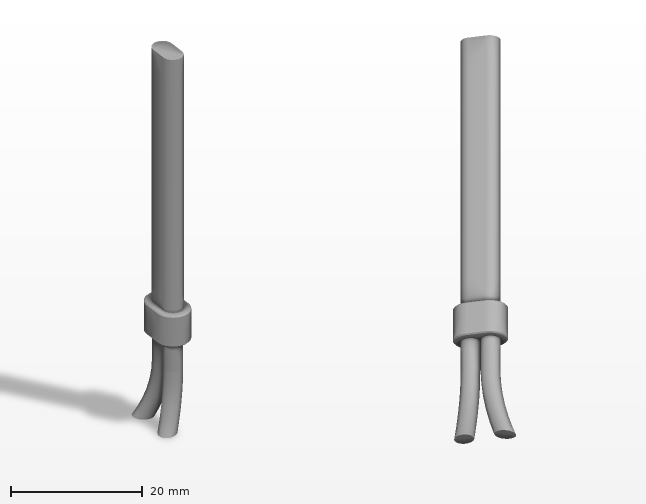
import cadquery as cq
import math

total_length = 65.0

cable_width = 6.2
cable_depth = 3.4

sleeve_width = 8.5
sleeve_depth = 5.6
sleeve_bottom = 15.0
sleeve_height = 5.45
sleeve_chamfer = 0.2

wire_diameter = 3.0
wire_offset = (cable_width - wire_diameter) / 2
bend_start = 10.0
end_spacing = 6.45
end_x = end_spacing / 2
left_end_y = -2.3
right_end_y = -2.15
trim_allowance = 1.95


def obround(width, depth, bottom, height):
    """Upright bar with an obround section centred on the Z axis."""
    return cq.Workplane("XY").workplane(offset=bottom).slot2D(width, depth).extrude(height)


def wire(side, end_y):
    """Straight wire that bends along an arc; side is -1 for left, +1 for right."""
    start_x = side * wire_offset
    shift_x = side * (end_x - wire_offset)
    spread = math.hypot(shift_x, end_y)
    bend_radius = (bend_start**2 + spread**2) / (2 * spread)
    outward = cq.Vector(shift_x / spread, end_y / spread, 0)

    bend_plane = cq.Plane(
        origin=(start_x, 0, bend_start),
        xDir=outward,
        normal=outward.cross(cq.Vector(0, 0, 1)),
    )

    def arc_point(drop):
        return bend_radius - math.sqrt(bend_radius**2 - drop**2), -drop

    full_drop = bend_start + trim_allowance
    path = cq.Workplane(bend_plane).threePointArc(arc_point(full_drop / 2), arc_point(full_drop))
    bend_top = cq.Workplane("XY", origin=(start_x, 0, bend_start))
    bent = bend_top.circle(wire_diameter / 2).sweep(path)
    straight = bend_top.circle(wire_diameter / 2).extrude(sleeve_bottom + sleeve_height / 2 - bend_start)
    return straight.union(bent)


cable = obround(cable_width, cable_depth, sleeve_bottom, total_length - sleeve_bottom)
sleeve = obround(sleeve_width, sleeve_depth, sleeve_bottom, sleeve_height)
sleeve = sleeve.faces("<Z or >Z").edges().chamfer(sleeve_chamfer)

wires = wire(-1, left_end_y).union(wire(1, right_end_y))
above_end = cq.Workplane("XY").box(
    2 * sleeve_width, 4 * sleeve_depth, total_length, centered=(True, True, False)
)

result = cable.union(sleeve).union(wires.intersect(above_end))